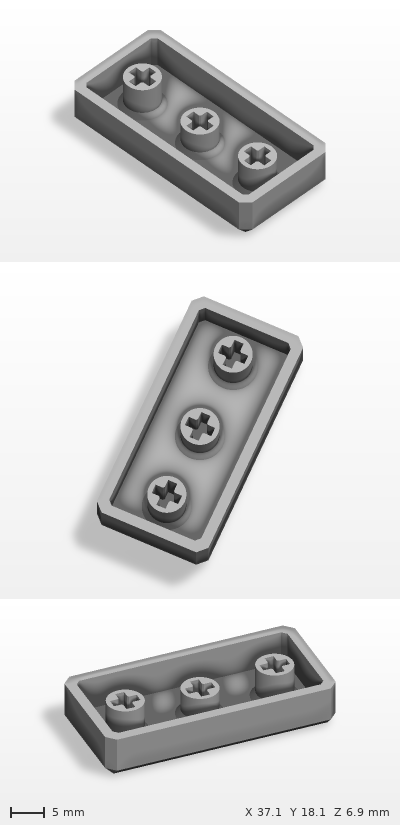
import cadquery as cq

length = 37.1
width = 18.05
height = 6.9
outer_chamfer = 1.37

wall = 1.6
inner_chamfer = 0.7
floor_thickness = 1.5

stem_count = 3
stem_spacing = 12.02
stem_diameter = 5.8
foot_diameter = 7.42
middle_stem_drop = 0.95
cross_span = 4.25
cross_arm_x = 1.5
cross_arm_y = 1.4
cross_corner_chamfer = 0.22
foot_height = (foot_diameter - stem_diameter) / 2


def make_shell():
    """Tray with bevelled corners and lower edges, open at the top."""
    body = cq.Workplane("XY").box(length, width, height, centered=(True, True, False))
    body = body.edges("|Z or <Z").chamfer(outer_chamfer)
    cavity = (
        cq.Workplane("XY")
        .workplane(offset=floor_thickness)
        .rect(length - 2 * wall, width - 2 * wall)
        .extrude(height - floor_thickness)
        .edges("|Z")
        .chamfer(inner_chamfer)
    )
    return body.cut(cavity)


def make_stem(stem_top):
    """Round stem with a conical foot, centred on the Z axis."""
    stem_radius = stem_diameter / 2
    return (
        cq.Workplane("XZ")
        .moveTo(0, floor_thickness)
        .lineTo(foot_diameter / 2, floor_thickness)
        .lineTo(stem_radius, floor_thickness + foot_height)
        .lineTo(stem_radius, stem_top)
        .lineTo(0, stem_top)
        .close()
        .revolve(360, (0, 0), (0, 1))
    )


def make_socket(stem_top):
    """Cross-shaped hole reaching from the stem top to the cavity floor."""
    depth = stem_top - floor_thickness
    base = cq.Workplane("XY").workplane(offset=floor_thickness)
    along_x = base.rect(cross_span, cross_arm_x).extrude(depth)
    along_y = base.rect(cross_arm_y, cross_span).extrude(depth)
    cross = along_x.union(along_y)
    inner_corners = cq.selectors.BoxSelector(
        (-cross_arm_x, -cross_arm_x, 0), (cross_arm_x, cross_arm_x, height)
    )
    return cross.edges("|Z").edges(inner_corners).chamfer(cross_corner_chamfer)


result = make_shell()
for index in range(stem_count):
    stem_x = (index - (stem_count - 1) / 2) * stem_spacing
    stem_top = height - middle_stem_drop if stem_x == 0 else height
    stem = make_stem(stem_top).cut(make_socket(stem_top))
    result = result.union(stem.translate((stem_x, 0, 0)))